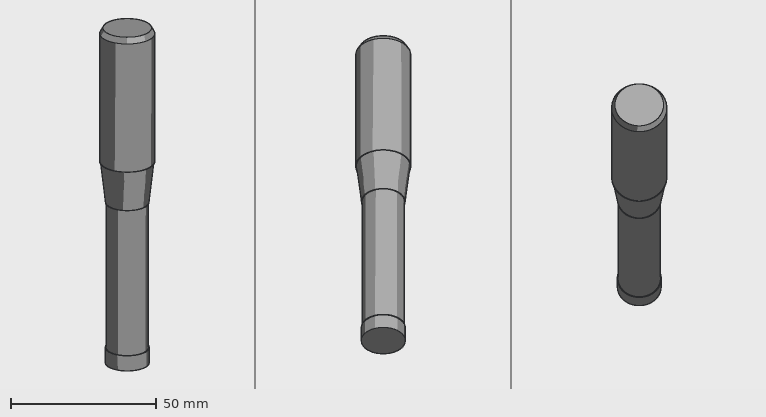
import cadquery as cq
import math

total_length = 127.7

head_diameter = 15.2
head_height = 8.4
point_angle = 140.0
head_radius = head_diameter / 2
point_height = head_radius / math.tan(math.radians(point_angle / 2))

shank_diameter = 19.0
neck_diameter = 14.5
shank_bottom = 77.8
shoulder_bottom = 62.6
shoulder_top_diameter = 18.5
shoulder_bottom_diameter = 15.1
end_chamfer_height = 2.0
end_chamfer_width = 1.1
shank_radius = shank_diameter / 2
neck_radius = neck_diameter / 2


def revolve_profile(points):
    """Turn a closed (radius, height) outline around the Z axis."""
    return cq.Workplane("XZ").polyline(points).close().revolve(360, (0, 0, 0), (0, 1, 0))


def make_cutting_head():
    """Short cylinder ending in a conical drill point."""
    return revolve_profile([
        (0, 0),
        (head_radius, point_height),
        (head_radius, head_height),
        (0, head_height),
    ])


def make_shank():
    """Neck, tapered shoulder and chamfered shank in one piece."""
    return revolve_profile([
        (0, head_height),
        (neck_radius, head_height),
        (neck_radius, shoulder_bottom),
        (shoulder_bottom_diameter / 2, shoulder_bottom),
        (shoulder_top_diameter / 2, shank_bottom),
        (shank_radius, shank_bottom),
        (shank_radius, total_length - end_chamfer_height),
        (shank_radius - end_chamfer_width, total_length),
        (0, total_length),
    ])


cutting_head = make_cutting_head()
shank = make_shank()

result = cq.Compound.makeCompound([cutting_head.val(), shank.val()])